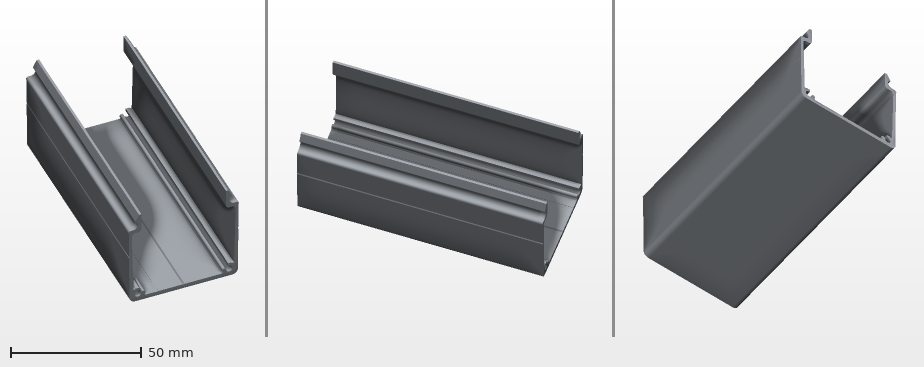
import cadquery as cq
import math

length = 100.0
height = 42.8
half_width = 46.1 / 2

floor_thickness = 1.9
corner_radius = 2.4
outer_wall_bottom = 22.6
outer_wall_top = 22.9
inner_wall_bottom = 21.0
inner_wall_top = 21.6

shoulder_top = 35.8
shoulder_thickness = 1.7
shoulder_underside = shoulder_top - shoulder_thickness
shoulder_round_start = 22.0
overhang_level = 34.8
overhang_height = 0.1
inside_fillet = 1.4
lip_bend_radius = 1.5

lip_inner = 17.6
tip_width = 1.0
barb_reach = 20.2
barb_level = 39.6
barb_nose = 0.2
snap_groove_radius = 2.0
snap_groove_center_y = 21.1
snap_groove_center_z = shoulder_top + snap_groove_radius

screw_center_y = 19.0
screw_center_z = 3.4
screw_radius = 1.4
shelf_level = 5.9
shelf_step_y = 20.0
hook_top = 6.2
hook_end = 18.5
hook_underside = 5.0
tooth_inner = 16.0
tooth_round = 0.8
tooth_outer = 17.2
tooth_top = 4.1
tooth_neck = 16.4
tooth_neck_level = 2.5
tooth_root = 15.8

marker_width = 0.8
marker_depth = 0.3
wall_marker_level = 22.6
floor_band_y = -11.4
floor_band_width = 1.6
floor_band_depth = 0.1


def screw_point(angle):
    """Point on the screw channel, angle in degrees from outward Y towards Z."""
    turn = math.radians(angle)
    return (
        screw_center_y + screw_radius * math.cos(turn),
        screw_center_z + screw_radius * math.sin(turn),
    )


def half_section():
    """Section on the +Y side of the mirror plane."""
    diagonal = corner_radius * math.sqrt(0.5)
    corner_middle = (outer_wall_bottom - corner_radius + diagonal, corner_radius - diagonal)
    bend_diagonal = lip_bend_radius * math.sqrt(0.5)
    bend_center_y = lip_inner + lip_bend_radius
    bend_center_z = shoulder_underside + lip_bend_radius
    fillet_offset = inside_fillet * (1 - math.sqrt(0.5))
    tooth_round_offset = tooth_round * (1 - math.sqrt(0.5))
    shoulder_round_y = half_width - shoulder_round_start
    shoulder_round_z = shoulder_top - overhang_level

    return (
        cq.Workplane("YZ")
        .moveTo(0, 0)
        .lineTo(outer_wall_bottom - corner_radius, 0)
        .threePointArc(corner_middle, (outer_wall_bottom, corner_radius))
        .lineTo(outer_wall_top, overhang_level - overhang_height)
        .lineTo(half_width, overhang_level)
        .threePointArc(
            (
                shoulder_round_start + shoulder_round_y * math.sqrt(0.5),
                overhang_level + shoulder_round_z * math.sqrt(0.5),
            ),
            (shoulder_round_start, shoulder_top),
        )
        .lineTo(snap_groove_center_y, shoulder_top)
        .threePointArc(
            (snap_groove_center_y - snap_groove_radius, snap_groove_center_z),
            (barb_reach, barb_level),
        )
        .lineTo(barb_reach, barb_level + barb_nose)
        .lineTo(lip_inner + tip_width, height)
        .lineTo(lip_inner, height)
        .lineTo(lip_inner, bend_center_z)
        .threePointArc(
            (bend_center_y - bend_diagonal, bend_center_z - bend_diagonal),
            (bend_center_y, shoulder_underside),
        )
        .lineTo(inner_wall_top - inside_fillet, shoulder_underside)
        .threePointArc(
            (inner_wall_top - fillet_offset, shoulder_underside - fillet_offset),
            (inner_wall_top, shoulder_underside - inside_fillet),
        )
        .lineTo(inner_wall_bottom, shelf_level)
        .lineTo(shelf_step_y, shelf_level)
        .lineTo(shelf_step_y, hook_top)
        .lineTo(hook_end, hook_top)
        .lineTo(hook_end, hook_underside)
        .lineTo(*screw_point(90))
        .threePointArc(screw_point(-45), screw_point(180))
        .lineTo(tooth_outer, tooth_top)
        .lineTo(tooth_inner + tooth_round, tooth_top)
        .threePointArc(
            (tooth_inner + tooth_round_offset, tooth_top - tooth_round_offset),
            (tooth_inner, tooth_top - tooth_round),
        )
        .lineTo(tooth_inner, tooth_neck_level + (tooth_neck - tooth_inner))
        .lineTo(tooth_neck, tooth_neck_level)
        .lineTo(tooth_root, floor_thickness)
        .lineTo(0, floor_thickness)
        .close()
        .extrude(length)
    )


def floor_marker():
    """V groove along the middle of the floor."""
    return (
        cq.Workplane("YZ")
        .polyline([
            (-marker_width / 2, floor_thickness),
            (marker_width / 2, floor_thickness),
            (0, floor_thickness - marker_depth),
        ])
        .close()
        .extrude(length)
    )


def wall_marker():
    """V groove along the outside of the +Y wall."""
    wall_height = overhang_level - overhang_height - corner_radius
    wall_slope = (outer_wall_top - outer_wall_bottom) / wall_height
    wall_y = outer_wall_bottom + wall_slope * (wall_marker_level - corner_radius)
    rise = marker_width / 2
    return (
        cq.Workplane("YZ")
        .polyline([
            (wall_y + wall_slope * rise, wall_marker_level + rise),
            (wall_y - wall_slope * rise, wall_marker_level - rise),
            (wall_y - marker_depth, wall_marker_level),
        ])
        .close()
        .extrude(length)
    )


def floor_band():
    """Shallow flat recess along one side of the floor."""
    return (
        cq.Workplane("YZ")
        .center(floor_band_y, floor_thickness - floor_band_depth / 2)
        .rect(floor_band_width, floor_band_depth)
        .extrude(length)
    )


half = half_section().cut(wall_marker())
channel = half.union(half.mirror("XZ"))
grooved = channel.cut(floor_marker()).cut(floor_band())
result = grooved.translate((-length / 2, 0, 0))